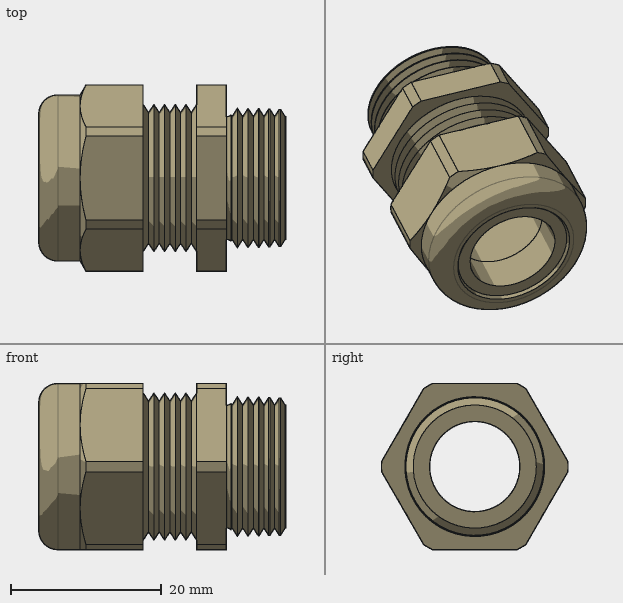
import cadquery as cq
import math


ACROSS_FLATS = 22.1
CORNER_RADIUS = 24.75 / 2

CAP_RADIUS = ACROSS_FLATS / 2
DOME_RADIUS = 2.6
CAP_LENGTH = 5.5
NUT_END = 13.85
HEX_CHAMFER_ANGLE = 30
MOUTH_RADIUS = 7.85
MOUTH_FLOOR_RADIUS = 7.65
MOUTH_DEPTH = 0.45

BORE_RADIUS = 5.95
SPIGOT_START = 5.5
FLANGE_START = 20.95
FLANGE_END = 24.87
BODY_END = 32.77

CLAMP_CREST_RADIUS = 9.75
CLAMP_ROOT_RADIUS = 8.7
CLAMP_PITCH_COUNT = 5
CLAMP_PITCH = (FLANGE_START - NUT_END) / CLAMP_PITCH_COUNT

ENTRY_CREST_RADIUS = 9.27
ENTRY_ROOT_RADIUS = 8.15
ENTRY_PITCH = 1.4
ENTRY_CREST_COUNT = 5
FIRST_ENTRY_CREST = 26.35
CREST_DROP_PER_PITCH = 0.04
RUNOUT_START = 24.97
RUNOUT_HEIGHT = 0.23


def revolve_about_x(sketch):
    """Close an (x, radius) outline and turn it about the X axis."""
    return sketch.close().revolve(360, (0, 0, 0), (1, 0, 0))


def disc(start, end, radius):
    """Solid cylinder along X."""
    return cq.Workplane("YZ").workplane(offset=start).circle(radius).extrude(end - start)


def hexagon(start, end):
    """Hexagonal prism along X, with its corners turned to CORNER_RADIUS."""
    corner_to_corner = ACROSS_FLATS / math.cos(math.radians(30))
    prism = cq.Workplane("YZ").workplane(offset=start).polygon(6, corner_to_corner).extrude(end - start)
    return prism.intersect(disc(start, end, CORNER_RADIUS))


def domed_cap():
    """Round front of the nut, reaching back to the hexagon's rear face."""
    arc_offset = DOME_RADIUS * math.sqrt(0.5)
    arc_centre_radius = CAP_RADIUS - DOME_RADIUS
    outline = (
        cq.Workplane("XY")
        .moveTo(0, 0)
        .lineTo(0, arc_centre_radius)
        .threePointArc(
            (DOME_RADIUS - arc_offset, arc_centre_radius + arc_offset),
            (DOME_RADIUS, CAP_RADIUS),
        )
        .lineTo(NUT_END, CAP_RADIUS)
        .lineTo(NUT_END, 0)
    )
    return revolve_about_x(outline)


def chamfered_hexagon():
    """Nut hexagon with its front corners turned back to a cone."""
    chamfer_length = (CORNER_RADIUS - CAP_RADIUS) * math.tan(math.radians(HEX_CHAMFER_ANGLE))
    cone_outline = cq.Workplane("XY").polyline([
        (CAP_LENGTH, 0),
        (CAP_LENGTH, CAP_RADIUS),
        (CAP_LENGTH + chamfer_length, CORNER_RADIUS),
        (NUT_END, CORNER_RADIUS),
        (NUT_END, 0),
    ])
    return hexagon(CAP_LENGTH, NUT_END).intersect(revolve_about_x(cone_outline))


def tapered_mouth():
    """Shallow conical recess in the nut's front face."""
    outline = cq.Workplane("XY").polyline([
        (0, 0),
        (0, MOUTH_RADIUS),
        (MOUTH_DEPTH, MOUTH_FLOOR_RADIUS),
        (MOUTH_DEPTH, 0),
    ])
    return revolve_about_x(outline)


def make_nut():
    """Clamping nut, with a socket that fits the body's spigot."""
    return (
        domed_cap()
        .union(chamfered_hexagon())
        .cut(tapered_mouth())
        .cut(disc(0, NUT_END, BORE_RADIUS))
        .cut(disc(SPIGOT_START, NUT_END, CLAMP_CREST_RADIUS))
    )


def clamping_thread():
    """Sharp ridges from the nut to the flange, ending in half ridges on both."""
    points = [(NUT_END, 0), (NUT_END, CLAMP_CREST_RADIUS)]
    for index in range(CLAMP_PITCH_COUNT):
        crest = NUT_END + index * CLAMP_PITCH
        points.append((crest + CLAMP_PITCH / 2, CLAMP_ROOT_RADIUS))
        points.append((crest + CLAMP_PITCH, CLAMP_CREST_RADIUS))
    points.append((FLANGE_START, 0))
    return revolve_about_x(cq.Workplane("XY").polyline(points))


def connection_thread():
    """Plain neck, run-out and ridges behind the flange."""
    half_pitch = ENTRY_PITCH / 2
    run_per_rise = half_pitch / (ENTRY_CREST_RADIUS - ENTRY_ROOT_RADIUS)
    first_root = FIRST_ENTRY_CREST - half_pitch
    outline = (
        cq.Workplane("XY")
        .moveTo(FLANGE_END, 0)
        .lineTo(FLANGE_END, ENTRY_ROOT_RADIUS)
        .lineTo(RUNOUT_START, ENTRY_ROOT_RADIUS)
        .tangentArcPoint(
            (first_root - RUNOUT_HEIGHT * run_per_rise, ENTRY_ROOT_RADIUS + RUNOUT_HEIGHT),
            relative=False,
        )
        .lineTo(first_root, ENTRY_ROOT_RADIUS)
    )
    for index in range(ENTRY_CREST_COUNT):
        crest = FIRST_ENTRY_CREST + index * ENTRY_PITCH
        drop = index * CREST_DROP_PER_PITCH
        half_flat = drop * run_per_rise
        crest_radius = ENTRY_CREST_RADIUS - drop
        outline = outline.lineTo(crest - half_flat, crest_radius)
        if half_flat > 0:
            outline = outline.lineTo(crest + half_flat, crest_radius)
        outline = outline.lineTo(crest + half_pitch, ENTRY_ROOT_RADIUS)
    outline = outline.lineTo(BODY_END, ENTRY_ROOT_RADIUS).lineTo(BODY_END, 0)
    return revolve_about_x(outline)


def make_body():
    """Threaded body: spigot, clamping thread, hexagonal flange and connection thread."""
    return (
        disc(SPIGOT_START, NUT_END, CLAMP_CREST_RADIUS)
        .union(clamping_thread())
        .union(hexagon(FLANGE_START, FLANGE_END))
        .union(connection_thread())
        .cut(disc(SPIGOT_START, BODY_END, BORE_RADIUS))
    )


nut = make_nut()
body = make_body()
result = cq.Compound.makeCompound([nut.val(), body.val()])